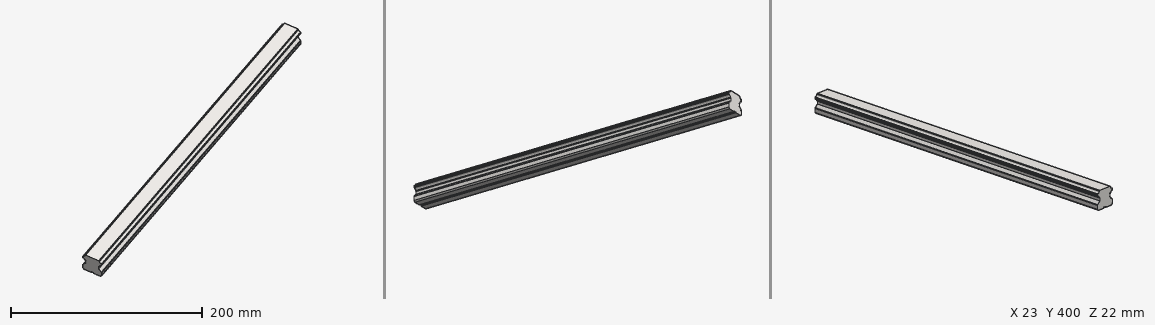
import cadquery as cq
import math

length = 400.0
width = 23.0
height = 22.0
half_width = width / 2

head_middle = 17.5
crown_half_width = 8.0
lip_half_width = 9.0
rim_half_width = 11.0
lip_inset = 1.0
rim_offset = 1.0
head_side_offset = 0.6
groove_radius = 3.0

waist_half_width = 8.0
waist_bottom = 10.0
foot_slope_run = 3.0
foot_slope_drop = 3.0
foot_side_top = 6.0
base_chamfer = 1.5

channel_half_width = 1.4
channel_depth = 1.0

head_half_height = height - head_middle
lip_offset = head_half_height - lip_inset


def groove_middle(side):
    """Deepest point of the +X ball groove above (side = 1) or below (side = -1) the head's middle."""
    run = rim_half_width - lip_half_width
    rise = lip_offset - rim_offset
    chord = math.hypot(run, rise)
    depth = groove_radius - math.sqrt(groove_radius**2 - (chord / 2) ** 2)
    x = (rim_half_width + lip_half_width) / 2 - depth * rise / chord
    offset = (lip_offset + rim_offset) / 2 - depth * run / chord
    return (x, head_middle + side * offset)


half_section = (
    cq.Workplane("XZ")
    .moveTo(0, channel_depth)
    .lineTo(channel_half_width, channel_depth)
    .lineTo(channel_half_width, 0)
    .lineTo(half_width - base_chamfer, 0)
    .lineTo(half_width, base_chamfer)
    .lineTo(half_width, foot_side_top)
    .lineTo(waist_half_width + foot_slope_run, waist_bottom - foot_slope_drop)
    .lineTo(waist_half_width, waist_bottom)
    .lineTo(waist_half_width, head_middle - head_half_height)
    .lineTo(lip_half_width, head_middle - lip_offset)
    .threePointArc(groove_middle(-1), (rim_half_width, head_middle - rim_offset))
    .lineTo(half_width, head_middle - head_side_offset)
    .lineTo(half_width, head_middle + head_side_offset)
    .lineTo(rim_half_width, head_middle + rim_offset)
    .threePointArc(groove_middle(1), (lip_half_width, head_middle + lip_offset))
    .lineTo(crown_half_width, height)
    .lineTo(0, height)
)

result = half_section.mirrorY().extrude(length / 2, both=True)